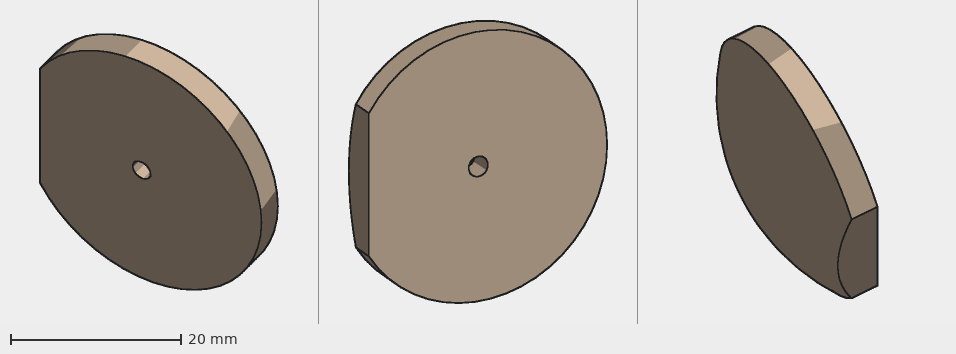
import cadquery as cq

disc_diameter = 33.77
rim_thickness = 3.5
total_thickness = 9.6
flat_distance = 14.32
hole_diameter = 2.5
hole_depth = 3.5

disc_radius = disc_diameter / 2
dome_height = total_thickness - rim_thickness
sphere_radius = (disc_radius**2 + dome_height**2) / (2 * dome_height)
sphere_center_y = total_thickness - sphere_radius


def domed_disc():
    """Disc around the Y axis, flat face at Y = 0, spherical dome towards +Y."""
    mid_x = disc_radius / 2
    mid_y = sphere_center_y + (sphere_radius**2 - mid_x**2) ** 0.5
    half_profile = (
        cq.Workplane("XY")
        .lineTo(disc_radius, 0)
        .lineTo(disc_radius, rim_thickness)
        .threePointArc((mid_x, mid_y), (0, total_thickness))
        .close()
    )
    return half_profile.revolve(360, (0, 0, 0), (0, 1, 0))


def flat_keeper():
    """Block covering everything on the +X side of the flat."""
    return cq.Workplane("XY").box(
        flat_distance + disc_radius, total_thickness, disc_diameter, centered=(False, False, True)
    ).translate((-flat_distance, 0, 0))


def center_hole():
    """Blind hole drilled from the flat face along +Y."""
    return cq.Workplane("XZ").circle(hole_diameter / 2).extrude(-hole_depth)


result = domed_disc().intersect(flat_keeper()).cut(center_hole())